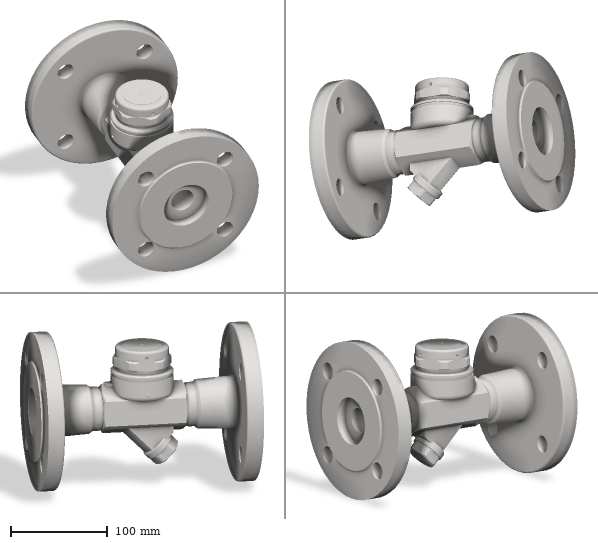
import cadquery as cq
import math


LENGTH = 230.0
FLANGE_DIA = 165.0
RAISED_FACE_DIA = 103.5
RAISED_FACE_HEIGHT = 2.0
FLANGE_BACK_X = 95.5
FLANGE_ROUND = 2.0
HUB_FILLET = 3.0
HUB_BIG_DIA = 54.7
HUB_SMALL_DIA = 51.0
HUB_END_X = 57.0
NECK_DIA = 46.0
NECK_START_X = 53.8
NECK_ROUND_X = 48.8
NECK_END_DIA = 43.2
NECK_ROUND_RADIUS = 7.5
BOLT_HOLE_DIA = 18.0
BOLT_CIRCLE_DIA = 125.4
BOLT_COUNT = 4
PORT_DIA = 25.0
PORT_RECESS_DIA = 50.0
PORT_RECESS_DEPTH = 10.0

BLOCK_FLATS = 46.0
BLOCK_HALF_LENGTH = 44.2
BLOCK_CHAMFER_LENGTH = 2.3
BLOCK_CHAMFER_DIA = 44.6

CHAMBER_DIA = 65.0
CHAMBER_BOTTOM_Z = 13.5
CHAMBER_TOP_Z = 41.2
CHAMBER_BOTTOM_ROUND = 5.0
CHAMBER_TOP_CHAMFER = 1.4
GROOVE_DIA = 62.0
GROOVE_BOTTOM_Z = 34.5
GROOVE_TOP_Z = 38.0

BOSS_WIDTH = 11.5
BOSS_END_CENTER_X = -34.7
BOSS_TOP_Z = 27.1

DOT_DIA = 3.0
CHAMBER_DOT_Z = 20.7
TOP_DOT_SINK = 0.7
DIMPLE_DIA = 4.0
DIMPLE_Z = 58.6
DIMPLE_COUNT = 4

ARM_TILT = 45.0
ARM_AXIS_OFFSET = -17.5
ARM_FLATS = 26.7
ARM_END_ALONG = 40.0
ARM_RIGHT_X = 30.4
PLUG_RIM_DIA = 34.0
PLUG_RIM_START_ALONG = 36.5
PLUG_RIM_END_ALONG = 44.8
PLUG_RIM_CHAMFER = 1.0
PLUG_HEX_FLATS = 30.0
PLUG_HEX_CORNER_DIA = 33.1
PLUG_HEX_END_ALONG = 55.2
PLUG_BOTTOM_CHAMFER = (0.7, 0.7)
PLUG_TOP_CHAMFER = (1.8, 1.4)

COVER_NECK_DIA = 54.0
COVER_HEX_BOTTOM_Z = 45.5
COVER_HEX_TOP_Z = 55.5
COVER_HEX_FLATS = 56.0
COVER_HEX_CORNER_DIA = 60.7
COVER_HEX_BOTTOM_CHAMFER = (1.4, 1.0)
COVER_HEX_TOP_CHAMFER = (1.8, 1.8)
CAP_DIA = 55.5
CAP_TOP_Z = 66.0
CAP_ROUND = 2.8
TOP_DISC_DIA = 40.0
TOP_DISC_HEIGHT = 0.35


def corner_dia(flats):
    """Corner-to-corner width of a regular hexagon with the given width across its flats."""
    return flats / math.cos(math.radians(30))


def dot(x, y, z):
    """Ball that shows as a dome where it stands out of a surface near its centre."""
    return cq.Workplane("XY").sphere(DOT_DIA / 2).translate((x, y, z))


def pipe_end():
    """Flange, hub and neck on the +X side, with port recess, port and bolt holes."""
    face_x = LENGTH / 2
    flange_front_x = face_x - RAISED_FACE_HEIGHT
    flange_r = FLANGE_DIA / 2
    hub_r = HUB_BIG_DIA / 2
    face_r = RAISED_FACE_DIA / 2
    end = (
        cq.Workplane("XY")
        .lineTo(0, NECK_END_DIA / 2)
        .lineTo(BLOCK_HALF_LENGTH, NECK_END_DIA / 2)
        .radiusArc((NECK_ROUND_X, NECK_DIA / 2), NECK_ROUND_RADIUS)
        .lineTo(NECK_START_X, NECK_DIA / 2)
        .lineTo(HUB_END_X, HUB_SMALL_DIA / 2)
        .lineTo(FLANGE_BACK_X - HUB_FILLET, hub_r)
        .radiusArc((FLANGE_BACK_X, hub_r + HUB_FILLET), -HUB_FILLET)
        .lineTo(FLANGE_BACK_X, flange_r - FLANGE_ROUND)
        .radiusArc((FLANGE_BACK_X + FLANGE_ROUND, flange_r), FLANGE_ROUND)
        .lineTo(flange_front_x, flange_r)
        .lineTo(flange_front_x, face_r + RAISED_FACE_HEIGHT)
        .radiusArc((face_x, face_r), -RAISED_FACE_HEIGHT)
        .lineTo(face_x, 0)
        .close()
        .revolve(360, (0, 0, 0), (1, 0, 0))
    )
    port_plane = cq.Workplane("YZ", origin=(face_x, 0, 0))
    recess = port_plane.circle(PORT_RECESS_DIA / 2).extrude(-PORT_RECESS_DEPTH)
    port = port_plane.circle(PORT_DIA / 2).extrude(BLOCK_HALF_LENGTH - face_x)
    bolt_holes = (
        port_plane.polarArray(BOLT_CIRCLE_DIA / 2, 180 / BOLT_COUNT, 360, BOLT_COUNT)
        .circle(BOLT_HOLE_DIA / 2)
        .extrude(FLANGE_BACK_X - face_x)
    )
    return end.cut(recess).cut(port).cut(bolt_holes)


def middle_block():
    """Hexagonal bar along X, an edge on top, with conical chamfers on both ends."""
    bar = (
        cq.Workplane("YZ", origin=(-BLOCK_HALF_LENGTH, 0, 0))
        .transformed(rotate=(0, 0, 90))
        .polygon(6, corner_dia(BLOCK_FLATS))
        .extrude(2 * BLOCK_HALF_LENGTH)
    )
    corner_r = corner_dia(BLOCK_FLATS) / 2
    shoulder_x = BLOCK_HALF_LENGTH - BLOCK_CHAMFER_LENGTH
    envelope = (
        cq.Workplane("XY")
        .moveTo(-BLOCK_HALF_LENGTH, 0)
        .lineTo(-BLOCK_HALF_LENGTH, BLOCK_CHAMFER_DIA / 2)
        .lineTo(-shoulder_x, corner_r)
        .lineTo(shoulder_x, corner_r)
        .lineTo(BLOCK_HALF_LENGTH, BLOCK_CHAMFER_DIA / 2)
        .lineTo(BLOCK_HALF_LENGTH, 0)
        .close()
        .revolve(360, (0, 0, 0), (1, 0, 0))
    )
    return bar.intersect(envelope)


def chamber():
    """Round chamber with a rounded bottom and a groove below its chamfered rim."""
    cup = (
        cq.Workplane("XY", origin=(0, 0, CHAMBER_BOTTOM_Z))
        .circle(CHAMBER_DIA / 2)
        .extrude(CHAMBER_TOP_Z - CHAMBER_BOTTOM_Z)
        .faces("<Z").edges().fillet(CHAMBER_BOTTOM_ROUND)
        .faces(">Z").edges().chamfer(CHAMBER_TOP_CHAMFER)
    )
    groove = (
        cq.Workplane("XY", origin=(0, 0, GROOVE_BOTTOM_Z))
        .circle(CHAMBER_DIA)
        .circle(GROOVE_DIA / 2)
        .extrude(GROOVE_TOP_Z - GROOVE_BOTTOM_Z)
    )
    return cup.cut(groove).union(dot(0, -CHAMBER_DIA / 2, CHAMBER_DOT_Z))


def side_boss():
    """Boss with a round end, standing on the top edge of the block and running into the chamber."""
    round_end = cq.Workplane("XY").center(BOSS_END_CENTER_X, 0).circle(BOSS_WIDTH / 2).extrude(BOSS_TOP_Z)
    bridge = (
        cq.Workplane("XY")
        .center(BOSS_END_CENTER_X / 2, 0)
        .rect(-BOSS_END_CENTER_X, BOSS_WIDTH)
        .extrude(BOSS_TOP_Z)
    )
    return round_end.union(bridge)


def slanted_plane(along):
    """Plane square to the slanted axis; its local x is Y and its local y points up and to +X."""
    tilt = math.radians(ARM_TILT)
    origin = (
        along * math.cos(tilt) + ARM_AXIS_OFFSET * math.sin(tilt),
        0,
        ARM_AXIS_OFFSET * math.cos(tilt) - along * math.sin(tilt),
    )
    return cq.Workplane(cq.Plane(origin, xDir=(0, 1, 0), normal=(math.cos(tilt), 0, -math.sin(tilt))))


def drain_arm():
    """Slanted arm with flat sides and a V-shaped underside, cut off upright on its +X side."""
    half_width = ARM_FLATS / 2
    half_side = half_width * math.tan(math.radians(30))
    keel = corner_dia(ARM_FLATS) / 2
    arm_top = ARM_RIGHT_X * math.cos(math.radians(ARM_TILT)) - ARM_AXIS_OFFSET
    arm = (
        slanted_plane(0)
        .moveTo(-half_width, arm_top)
        .lineTo(-half_width, -half_side)
        .lineTo(0, -keel)
        .lineTo(half_width, -half_side)
        .lineTo(half_width, arm_top)
        .close()
        .extrude(ARM_END_ALONG)
    )
    beyond_right = cq.Workplane("XY").box(LENGTH, LENGTH, LENGTH).translate((ARM_RIGHT_X + LENGTH / 2, 0, 0))
    return arm.cut(beyond_right)


def hexagon_head(flats, turned_dia, height, bottom_chamfer, top_chamfer):
    """Upright hexagon standing on the origin, a corner toward +X, with its corners turned down and chamfered.

    Each chamfer is the (width, height) of the cone that trims the corners at that end.
    """
    turned_r = turned_dia / 2
    bottom_width, bottom_height = bottom_chamfer
    top_width, top_height = top_chamfer
    envelope = (
        cq.Workplane("XZ")
        .lineTo(turned_r - bottom_width, 0)
        .lineTo(turned_r, bottom_height)
        .lineTo(turned_r, height - top_height)
        .lineTo(turned_r - top_width, height)
        .lineTo(0, height)
        .close()
        .revolve(360, (0, 0, 0), (0, 1, 0))
    )
    prism = cq.Workplane("XY").polygon(6, corner_dia(flats)).extrude(height)
    return prism.intersect(envelope)


def plug():
    """Round rim and hexagon head that close the slanted arm."""
    rim_length = PLUG_RIM_END_ALONG - PLUG_RIM_START_ALONG
    rim = cq.Workplane("XY").circle(PLUG_RIM_DIA / 2).extrude(rim_length).edges().chamfer(PLUG_RIM_CHAMFER)
    head = hexagon_head(
        PLUG_HEX_FLATS,
        PLUG_HEX_CORNER_DIA,
        PLUG_HEX_END_ALONG - PLUG_RIM_END_ALONG,
        PLUG_BOTTOM_CHAMFER,
        PLUG_TOP_CHAMFER,
    ).translate((0, 0, rim_length))
    upright = rim.union(head).rotate((0, 0, 0), (0, 0, 1), 90)
    return cq.Workplane(upright.val().moved(slanted_plane(PLUG_RIM_START_ALONG).plane.location))


def make_trap_body():
    """Pipe, block, chamber and drain arm with its plug, as one solid."""
    body = middle_block().union(chamber()).union(side_boss()).union(drain_arm()).union(plug())
    right_end = pipe_end()
    return body.union(right_end).union(right_end.mirror("YZ"))


def make_cover():
    """Cover with a plain neck, hexagon, round dimpled cap and top disc."""
    neck = (
        cq.Workplane("XY", origin=(0, 0, CHAMBER_TOP_Z))
        .circle(COVER_NECK_DIA / 2)
        .extrude(COVER_HEX_BOTTOM_Z - CHAMBER_TOP_Z)
    )
    hexagon = hexagon_head(
        COVER_HEX_FLATS,
        COVER_HEX_CORNER_DIA,
        COVER_HEX_TOP_Z - COVER_HEX_BOTTOM_Z,
        COVER_HEX_BOTTOM_CHAMFER,
        COVER_HEX_TOP_CHAMFER,
    ).translate((0, 0, COVER_HEX_BOTTOM_Z))
    cap = (
        cq.Workplane("XY", origin=(0, 0, COVER_HEX_TOP_Z))
        .circle(CAP_DIA / 2)
        .extrude(CAP_TOP_Z - COVER_HEX_TOP_Z)
        .faces(">Z").edges().fillet(CAP_ROUND)
    )
    disc = cq.Workplane("XY", origin=(0, 0, CAP_TOP_Z)).circle(TOP_DISC_DIA / 2).extrude(TOP_DISC_HEIGHT)
    cover = neck.union(hexagon).union(cap).union(disc)
    cover = cover.union(dot(0, 0, CAP_TOP_Z + TOP_DISC_HEIGHT - TOP_DOT_SINK))
    dimple = cq.Workplane("XY").sphere(DIMPLE_DIA / 2).translate((CAP_DIA / 2, 0, DIMPLE_Z))
    for number in range(DIMPLE_COUNT):
        cover = cover.cut(dimple.rotate((0, 0, 0), (0, 0, 1), number * 360 / DIMPLE_COUNT))
    return cover


trap_body = make_trap_body()
cover = make_cover()
result = cq.Compound.makeCompound([trap_body.val(), cover.val()])